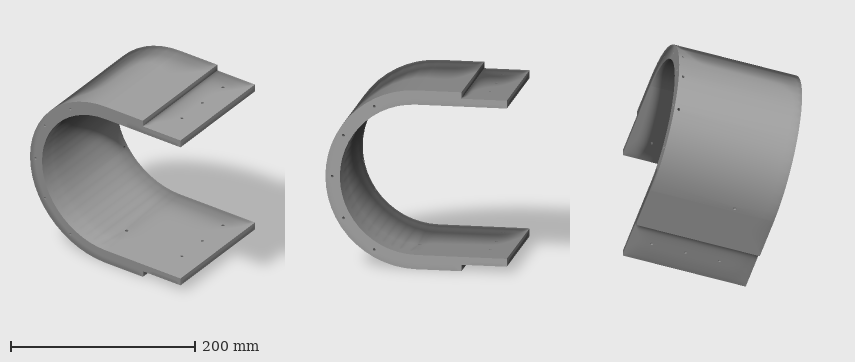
import cadquery as cq
import math

outer_radius = 100.0
wall = 16.0
inner_radius = outer_radius - wall
arm_length = 100.0
depth = 140.0
front_y = -depth / 2

rebate_length = 50.0
rebate_depth = 7.2

axial_hole_diameter = 3.0
axial_hole_radius = 92.5
axial_hole_angles = [120, 150, 180, 210, 240]

radial_hole_diameter = 3.2
radial_hole_y = front_y + depth - 5.0
radial_hole_angles = [148, 170, 190, 214]

arm_hole_diameter = 3.2
arm_hole_x = arm_length - rebate_length / 2
arm_hole_pitch = 38.5
arm_hole_middle_y = 6.5

floor_hole_diameter = 3.5
floor_hole_x = -4.0
floor_hole_y = front_y + 46.0


def make_shell():
    step_x = arm_length - rebate_length
    tongue_z = outer_radius - rebate_depth
    return (
        cq.Workplane("XZ", origin=(0, front_y + depth, 0))
        .moveTo(0, outer_radius)
        .lineTo(step_x, outer_radius)
        .lineTo(step_x, tongue_z)
        .lineTo(arm_length, tongue_z)
        .lineTo(arm_length, inner_radius)
        .lineTo(0, inner_radius)
        .threePointArc((-inner_radius, 0), (0, -inner_radius))
        .lineTo(arm_length, -inner_radius)
        .lineTo(arm_length, -tongue_z)
        .lineTo(step_x, -tongue_z)
        .lineTo(step_x, -outer_radius)
        .lineTo(0, -outer_radius)
        .threePointArc((-outer_radius, 0), (0, outer_radius))
        .close()
        .extrude(depth)
    )


def drill(start, direction, diameter, length):
    return cq.Workplane(cq.Solid.makeCylinder(diameter / 2, length, cq.Vector(*start), cq.Vector(*direction)))


def circle_direction(angle):
    """Unit vector in the XZ plane, measured from +X toward +Z."""
    return math.cos(math.radians(angle)), math.sin(math.radians(angle))


result = make_shell()

for angle in axial_hole_angles:
    across, up = circle_direction(angle)
    start = (axial_hole_radius * across, front_y, axial_hole_radius * up)
    result = result.cut(drill(start, (0, 1, 0), axial_hole_diameter, depth))

clearance = 4.0
for angle in radial_hole_angles:
    across, up = circle_direction(angle)
    start_radius = inner_radius - clearance
    start = (start_radius * across, radial_hole_y, start_radius * up)
    result = result.cut(drill(start, (across, 0, up), radial_hole_diameter, wall + 2 * clearance))

for row in (-1, 0, 1):
    start = (arm_hole_x, arm_hole_middle_y + row * arm_hole_pitch, -outer_radius)
    result = result.cut(drill(start, (0, 0, 1), arm_hole_diameter, 2 * outer_radius))

floor_hole_start = (floor_hole_x, floor_hole_y, -outer_radius)
result = result.cut(drill(floor_hole_start, (0, 0, 1), floor_hole_diameter, wall + clearance))